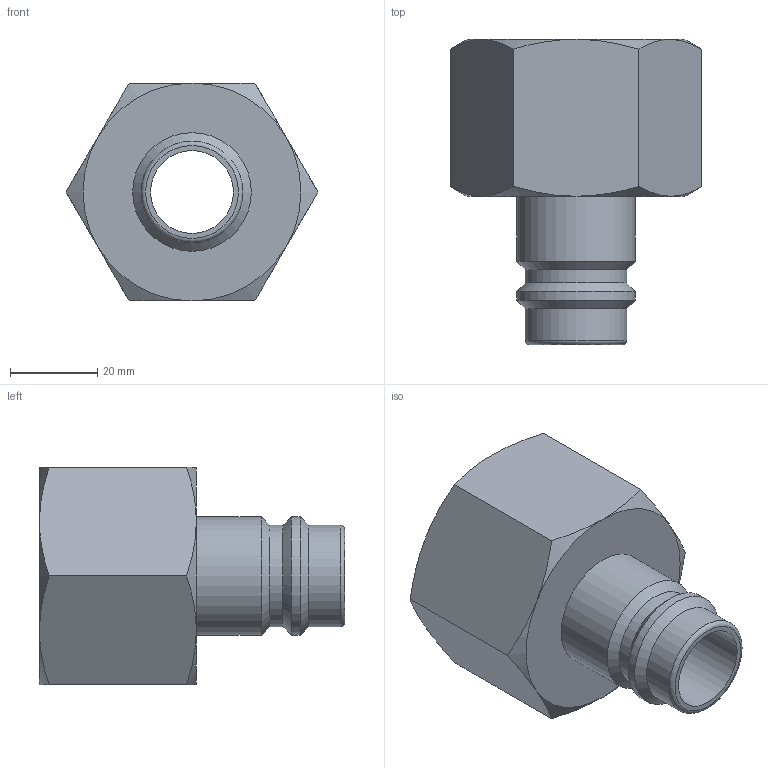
import cadquery as cq
import math

HEX_SIDES = 6
ACROSS_FLATS = 50.0
ACROSS_CORNERS = ACROSS_FLATS / math.cos(math.pi / HEX_SIDES)
HEX_LENGTH = 36.0
HEX_CHAMFER_ANGLE = 30.0

STEM_LENGTH = 34.0
COLLAR_DIAMETER = 27.2
NECK_DIAMETER = 23.3
BORE_DIAMETER = 19.0
COLLAR_LENGTH = 14.9
BEVEL_RUN = (COLLAR_DIAMETER - NECK_DIAMETER) / 2
GROOVE_LENGTH = 3.0
RIDGE_LENGTH = 2.0
TIP_RADIUS = 1.0


def revolve_about_y(points):
    """Revolve a closed (radius, y) outline about the Y axis."""
    return cq.Workplane("XY").polyline(points).close().revolve(360, (0, 0), (0, 1))


def make_hexagon():
    """Hexagonal prism from y = 0 to HEX_LENGTH with conically turned corners at both ends."""
    prism = (
        cq.Workplane("XZ")
        .polygon(HEX_SIDES, ACROSS_CORNERS)
        .extrude(-HEX_LENGTH)
    )
    face_radius = ACROSS_FLATS / 2
    corner_radius = ACROSS_CORNERS / 2
    chamfer_depth = (corner_radius - face_radius) * math.tan(math.radians(HEX_CHAMFER_ANGLE))
    cone_depth = 2 * chamfer_depth
    cone_radius = 2 * corner_radius - face_radius
    envelope = revolve_about_y([
        (0, 0),
        (face_radius, 0),
        (cone_radius, cone_depth),
        (cone_radius, HEX_LENGTH - cone_depth),
        (face_radius, HEX_LENGTH),
        (0, HEX_LENGTH),
    ])
    return prism.intersect(envelope)


def make_stem():
    """Turned plug stem with a locking groove and a ridge, from y = 0 to -STEM_LENGTH."""
    collar_radius = COLLAR_DIAMETER / 2
    neck_radius = NECK_DIAMETER / 2
    groove_start = COLLAR_LENGTH + BEVEL_RUN
    groove_end = groove_start + GROOVE_LENGTH
    ridge_start = groove_end + BEVEL_RUN
    ridge_end = ridge_start + RIDGE_LENGTH
    tip_start = ridge_end + BEVEL_RUN
    stem = revolve_about_y([
        (0, 0),
        (collar_radius, 0),
        (collar_radius, -COLLAR_LENGTH),
        (neck_radius, -groove_start),
        (neck_radius, -groove_end),
        (collar_radius, -ridge_start),
        (collar_radius, -ridge_end),
        (neck_radius, -tip_start),
        (neck_radius, -STEM_LENGTH),
        (0, -STEM_LENGTH),
    ])
    return stem.faces("<Y").edges().fillet(TIP_RADIUS)


def make_bore():
    """Straight bore through the stem and the hexagon."""
    return (
        cq.Workplane("XZ", origin=(0, HEX_LENGTH, 0))
        .circle(BORE_DIAMETER / 2)
        .extrude(HEX_LENGTH + STEM_LENGTH)
    )


result = make_hexagon().union(make_stem()).cut(make_bore())